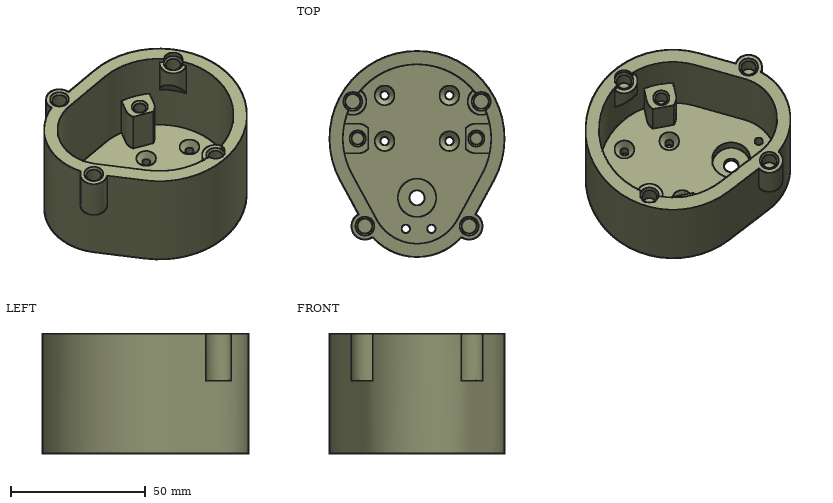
import cadquery as cq
import math

height = 44.5
large_radius = 32.5
small_radius = 22.0
small_center_y = -22.0
wall = 5.0
floor_thickness = 7.0
cavity_radius = large_radius - wall

flank_angle = math.asin((large_radius - small_radius) / small_center_y)

boss_radius = 5.0
boss_length = 17.5
boss_base_z = height - boss_length
inner_boss_angle = 30.0
inner_boss_top_z = height - 2.0
inner_boss_support_slope = 60.0
boss_hole_radius = 2.75
boss_lead_radius = 3.5
boss_hole_depth = 8.0

post_x = 22.0
post_radius = 5.5
post_flat_x = 18.15
post_top_z = 25.0
post_hole_radius = 2.25
post_lead_radius = 3.0
post_hole_depth = 8.0

mount_center_y = 7.5
mount_pitch_x = 24.0
mount_pitch_y = 17.0
mount_hole_diameter = 3.0
mount_head_diameter = 7.3
countersink_angle = 90.0

shaft_diameter = 5.5
seat_diameter = 14.2
seat_depth = 5.0

cable_hole_diameter = 3.0
cable_hole_pitch = 9.5
cable_hole_center_x = 0.6
cable_hole_y = -33.5


def flank_point(radius, center_y, side):
    """Tangent point of a flank on an end arc; side is +1 for +X and -1 for -X."""
    x = side * radius * math.cos(flank_angle)
    return (x, center_y + radius * math.sin(flank_angle))


def teardrop(offset, base_z, length):
    """Prism of the housing outline, moved inward by offset."""
    large = large_radius - offset
    small = small_radius - offset
    return (
        cq.Workplane("XY", origin=(0, 0, base_z))
        .moveTo(*flank_point(large, 0, 1))
        .threePointArc((0, large), flank_point(large, 0, -1))
        .lineTo(*flank_point(small, small_center_y, -1))
        .threePointArc((0, small_center_y - small), flank_point(small, small_center_y, 1))
        .close()
        .extrude(length)
    )


def cylinder(x, y, base_z, radius, length):
    return cq.Workplane("XY", origin=(x, y, base_z)).circle(radius).extrude(length)


def insert_hole(x, y, top_z, hole_radius, lead_radius, depth):
    """Blind hole with a 45 degree lead-in at its mouth."""
    lead_depth = lead_radius - hole_radius
    profile = [
        (0, top_z),
        (lead_radius, top_z),
        (hole_radius, top_z - lead_depth),
        (hole_radius, top_z - depth),
        (0, top_z - depth),
    ]
    return cq.Workplane("XZ").polyline(profile).close().revolve().translate((x, y, 0))


def boss_hole(x, y, top_z):
    return insert_hole(x, y, top_z, boss_hole_radius, boss_lead_radius, boss_hole_depth)


def support_cone():
    """Cone around the Z axis that tapers the underside of the inner bosses into the wall."""
    apex_z = boss_base_z + cavity_radius * math.tan(math.radians(inner_boss_support_slope))
    profile = [(0, boss_base_z), (cavity_radius, boss_base_z), (0, apex_z)]
    return cq.Workplane("XZ").polyline(profile).close().revolve()


def add_outer_bosses(body):
    """Bosses outside the wall, centred where the flanks meet the small end."""
    for side in (-1, 1):
        x, y = flank_point(small_radius, small_center_y, side)
        boss = cylinder(x, y, boss_base_z, boss_radius, boss_length)
        boss = boss.cut(teardrop(wall, boss_base_z, boss_length))
        body = body.union(boss).cut(boss_hole(x, y, height))
    return body


def add_inner_bosses(body):
    """Bosses inside the large end, sunk below the rim and notched into it."""
    cone = support_cone()
    for side in (-1, 1):
        x = side * cavity_radius * math.cos(math.radians(inner_boss_angle))
        y = cavity_radius * math.sin(math.radians(inner_boss_angle))
        boss = cylinder(x, y, boss_base_z, boss_radius, inner_boss_top_z - boss_base_z)
        boss = boss.cut(cone).intersect(teardrop(0, 0, height))
        notch = cylinder(x, y, inner_boss_top_z, boss_lead_radius, height - inner_boss_top_z)
        body = body.union(boss).cut(notch).cut(boss_hole(x, y, inner_boss_top_z))
    return body


def slab(start_x, end_x, length):
    """Block as wide as a post, standing on the floor between two X positions."""
    return (
        cq.Workplane("XY", origin=((start_x + end_x) / 2, 0, floor_thickness))
        .rect(abs(end_x - start_x), 2 * post_radius)
        .extrude(length)
    )


def add_posts(body):
    """Round-cornered posts joined to the wall, each with a flat facing the middle."""
    post_height = post_top_z - floor_thickness
    web_end_x = cavity_radius + wall / 2
    for side in (-1, 1):
        x = side * post_x
        round_part = cylinder(x, 0, floor_thickness, post_radius, post_height)
        web = slab(x, side * web_end_x, post_height)
        beyond_flat = slab(side * post_flat_x, side * web_end_x, post_height)
        post = round_part.union(web).intersect(beyond_flat)
        hole = insert_hole(x, 0, post_top_z, post_hole_radius, post_lead_radius, post_hole_depth)
        body = body.union(post).cut(hole)
    return body


def countersunk_hole(x, y):
    """Through hole in the floor with a conical screw seat on the inside."""
    hole_radius = mount_hole_diameter / 2
    head_radius = mount_head_diameter / 2
    cone_depth = (head_radius - hole_radius) / math.tan(math.radians(countersink_angle / 2))
    profile = [
        (0, 0),
        (hole_radius, 0),
        (hole_radius, floor_thickness - cone_depth),
        (head_radius, floor_thickness),
        (0, floor_thickness),
    ]
    return cq.Workplane("XZ").polyline(profile).close().revolve().translate((x, y, 0))


def cut_floor_holes(body):
    for x_side in (-1, 1):
        x = x_side * mount_pitch_x / 2
        for y_side in (-1, 1):
            y = mount_center_y + y_side * mount_pitch_y / 2
            body = body.cut(countersunk_hole(x, y))
        cable_x = cable_hole_center_x + x_side * cable_hole_pitch / 2
        cable_hole = cylinder(cable_x, cable_hole_y, 0, cable_hole_diameter / 2, floor_thickness)
        body = body.cut(cable_hole)
    bore = cylinder(0, small_center_y, 0, shaft_diameter / 2, floor_thickness)
    seat = cylinder(0, small_center_y, floor_thickness - seat_depth, seat_diameter / 2, seat_depth)
    return body.cut(bore).cut(seat)


body = teardrop(0, 0, height).cut(teardrop(wall, floor_thickness, height - floor_thickness))
body = add_outer_bosses(body)
body = add_inner_bosses(body)
body = add_posts(body)
result = cut_floor_holes(body)